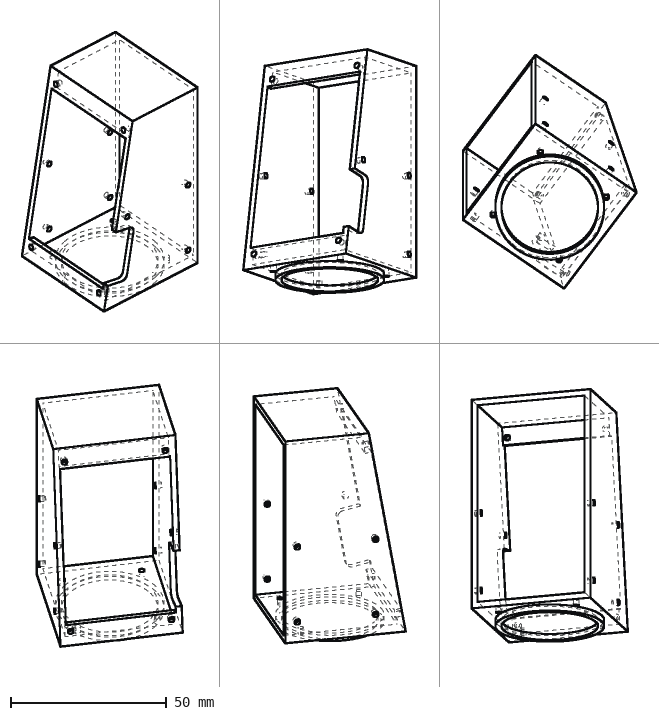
import cadquery as cq
import math

total_height = 72.0
width = 40.0
top_depth = 27.8
wall = 2.0
ring_height = 2.0
ring_outer_diameter = 35.0
ring_inner_diameter = 31.0
hole_diameter = 1.8

body_height = total_height - ring_height
inner_width = width - 2 * wall
half_width = width / 2

lean = math.atan2(width - top_depth, body_height)
slope_length = math.hypot(width - top_depth, body_height)
front_plane = cq.Plane(
    origin=(0, -half_width, 0),
    xDir=(1, 0, 0),
    normal=(0, -math.cos(lean), math.sin(lean)),
)

rail_height = 7.5
rail_screw_inset = 5.1
rail_screw_spacing = 33.0
rail_screw_depth = 2 * wall

screw_spacing = 26.0
side_screw_back_inset = 4.0
side_screw_bottom = 7.0

notch_bottom = 9.6
notch_length = 20.0
notch_depth = 8.0
notch_radius = 2.0


def side_profile(front_inset, bottom, top, back):
    """Trapezoid in Y and Z whose front edge lies parallel to the sloped face."""
    def front_y(z):
        return -half_width + front_inset / math.cos(lean) + z * math.tan(lean)

    return cq.Workplane("YZ").polyline(
        [(front_y(bottom), bottom), (back, bottom), (back, top), (front_y(top), top)]
    ).close()


def make_shell():
    """Tapered box, open at the back, with a window through the sloped front."""
    outside = side_profile(0, 0, body_height, half_width).extrude(half_width, both=True)
    inside = side_profile(wall, wall, body_height - wall, half_width).extrude(inner_width / 2, both=True)
    window = (
        cq.Workplane(front_plane)
        .center(0, slope_length / 2)
        .rect(inner_width, slope_length - 2 * rail_height)
        .extrude(-2 * wall)
    )
    return outside.cut(inside).cut(window)


def make_mounting_ring():
    """Shallow ring below the floor."""
    return (
        cq.Workplane("XY")
        .circle(ring_outer_diameter / 2)
        .circle(ring_inner_diameter / 2)
        .extrude(-ring_height)
    )


def make_rail_screw_holes():
    """Two holes in each front rail, square to the slope."""
    return (
        cq.Workplane(front_plane)
        .center(0, slope_length / 2)
        .rect(rail_screw_spacing, slope_length - 2 * rail_screw_inset, forConstruction=True)
        .vertices()
        .circle(hole_diameter / 2)
        .extrude(-rail_screw_depth)
    )


def make_floor_screw_holes():
    """Four holes through the floor that also graze the outside of the ring."""
    return (
        cq.Workplane("XY", origin=(0, 0, -ring_height))
        .rect(screw_spacing, screw_spacing, forConstruction=True)
        .vertices()
        .circle(hole_diameter / 2)
        .extrude(ring_height + wall)
    )


def make_side_screw_holes():
    """Four holes in the -X wall; the +X wall has no lower front hole."""
    back = half_width - side_screw_back_inset
    front = back - screw_spacing
    bottom = side_screw_bottom
    top = bottom + screw_spacing
    shared = [(back, bottom), (back, top), (front, top)]
    through_both = (
        cq.Workplane("YZ").pushPoints(shared).circle(hole_diameter / 2).extrude(half_width, both=True)
    )
    left_only = (
        cq.Workplane("YZ", origin=(-half_width, 0, 0))
        .center(front, bottom)
        .circle(hole_diameter / 2)
        .extrude(wall)
    )
    return through_both.union(left_only)


def make_wall_notch():
    """Notch with rounded inner corners in the front edge of the +X wall."""
    return (
        cq.Workplane(front_plane)
        .center(half_width - wall / 2, notch_bottom + notch_length / 2)
        .rect(wall, notch_length)
        .extrude(-notch_depth)
        .faces(cq.selectors.DirectionMinMaxSelector(-front_plane.zDir))
        .edges("|X")
        .fillet(notch_radius)
    )


result = (
    make_shell()
    .union(make_mounting_ring())
    .cut(make_rail_screw_holes())
    .cut(make_floor_screw_holes())
    .cut(make_side_screw_holes())
    .cut(make_wall_notch())
)